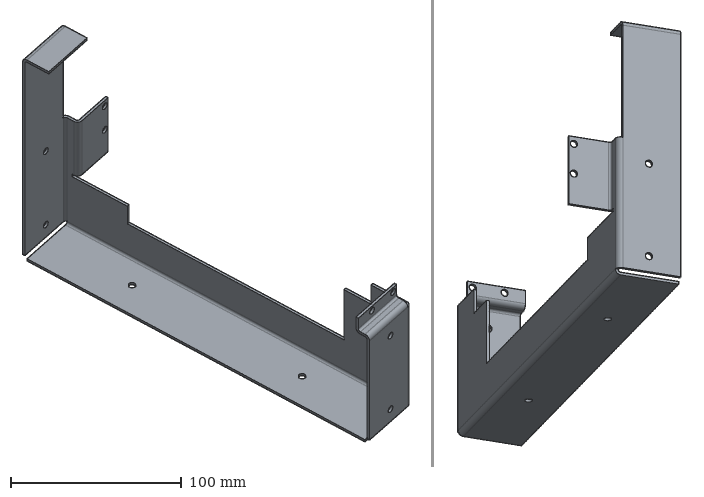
import cadquery as cq

length = 257.3
height = 161.8
full_depth = 66.5
sheet = 1.8
inner_radius = 1.5
bend = inner_radius + sheet
depth = 40.0
flange_depth = depth - bend
hole_diameter = 4.5

wall_top = 83.4
right_step_x = 228.7
right_step_z = 68.0
opening_left = 48.0
opening_right = 208.7
opening_floor = 27.5
left_step_z = 41.7

tab_face_x = 11.8
tab_bottom = 43.5
tab_top = 87.0
relief_x = 7.2

hook_end = 19.5
lip_x = 247.3
lip_top = 96.7
lip_shelf_top = wall_top + bend

side_hole_y = 20.0
side_hole_heights = (13.5, 72.5)
floor_hole_inset = 65.5
rear_tab_hole_y = 63.3
rear_tab_hole_heights = (63.3, 82.3)
lip_hole_depths = (13.0, 33.2)
lip_hole_z = 93.1


def block(x_span, y_span, z_span):
    """Box between the low and high limits on each axis."""
    spans = (x_span, y_span, z_span)
    sizes = [high - low for low, high in spans]
    corner = tuple(low for low, high in spans)
    return cq.Workplane("XY").box(*sizes, centered=False).translate(corner)


def quarter_bend(plane, center, u_sign, v_sign, start, end):
    """Bent sheet in one quadrant about center, running from start to end along the plane normal."""
    u, v = center
    offset = -start if plane == "XZ" else start
    run = start - end if plane == "XZ" else end - start
    diagonal = 0.5 ** 0.5

    def point(radius, u_part, v_part):
        return u + u_sign * radius * u_part, v + v_sign * radius * v_part

    return (
        cq.Workplane(plane).workplane(offset=offset)
        .moveTo(*point(inner_radius, 1, 0))
        .lineTo(*point(bend, 1, 0))
        .threePointArc(point(bend, diagonal, diagonal), point(bend, 0, 1))
        .lineTo(*point(inner_radius, 0, 1))
        .threePointArc(point(inner_radius, diagonal, diagonal), point(inner_radius, 1, 0))
        .close().extrude(run)
    )


def back_wall():
    outline = [
        (bend, bend), (length - bend, bend), (length - bend, wall_top),
        (right_step_x, wall_top), (right_step_x, right_step_z),
        (opening_right, right_step_z), (opening_right, opening_floor),
        (opening_left, opening_floor), (opening_left, left_step_z),
        (relief_x, left_step_z), (relief_x, tab_bottom),
        (tab_face_x - bend, tab_bottom), (tab_face_x - bend, tab_top), (bend, tab_top),
    ]
    return cq.Workplane("XZ", origin=(0, depth, 0)).polyline(outline).close().extrude(sheet)


def floor():
    plate = block((bend, length - bend), (0, flange_depth), (0, sheet))
    fold = quarter_bend("YZ", (flange_depth, bend), 1, -1, bend, length - bend)
    return plate.union(fold)


def left_strap():
    strap = block((0, sheet), (0, flange_depth), (bend, height - bend))
    wall_fold = quarter_bend("XY", (bend, flange_depth), -1, 1, bend, tab_top)
    hook_fold = quarter_bend("XZ", (bend, height - bend), -1, 1, 0, flange_depth)
    hook = block((bend, hook_end), (0, flange_depth), (height - sheet, height))
    return strap.union(wall_fold).union(hook_fold).union(hook)


def rear_tab():
    tab_start = depth - sheet + bend
    fold = quarter_bend("XY", (tab_face_x - bend, tab_start), 1, -1, tab_bottom, tab_top)
    tab = block((tab_face_x - sheet, tab_face_x), (tab_start, full_depth), (tab_bottom, tab_top))
    return fold.union(tab)


def right_flange():
    fold_x = length - bend
    flange = block((length - sheet, length), (0, flange_depth), (bend, wall_top))
    wall_fold = quarter_bend("XY", (fold_x, flange_depth), 1, 1, bend, wall_top)
    return flange.union(wall_fold)


def offset_lip():
    shelf_bottom = lip_shelf_top - sheet
    lip_start = shelf_bottom + bend
    y_span = (0, flange_depth)
    flange_fold = quarter_bend("XZ", (length - bend, wall_top), 1, 1, *y_span)
    shelf = block((lip_x + bend, length - bend), y_span, (shelf_bottom, lip_shelf_top))
    lip_fold = quarter_bend("XZ", (lip_x + bend, lip_start), -1, -1, *y_span)
    lip = block((lip_x, lip_x + sheet), y_span, (lip_start, lip_top))
    return flange_fold.union(shelf).union(lip_fold).union(lip)


def drill_x(x_start, x_end, y, z):
    """Cutter for a hole along X."""
    start = cq.Workplane("YZ", origin=(x_start, y, z))
    return start.circle(hole_diameter / 2).extrude(x_end - x_start)


result = back_wall()
for section in (floor(), left_strap(), rear_tab(), right_flange(), offset_lip()):
    result = result.union(section)

for z in side_hole_heights:
    result = result.cut(drill_x(0, length, side_hole_y, z))

for z in rear_tab_hole_heights:
    result = result.cut(drill_x(tab_face_x - sheet, tab_face_x, rear_tab_hole_y, z))

for y in lip_hole_depths:
    result = result.cut(drill_x(lip_x, lip_x + sheet, y, lip_hole_z))

for x in (floor_hole_inset, length - floor_hole_inset):
    hole = cq.Workplane("XY", origin=(x, side_hole_y, 0)).circle(hole_diameter / 2).extrude(sheet)
    result = result.cut(hole)